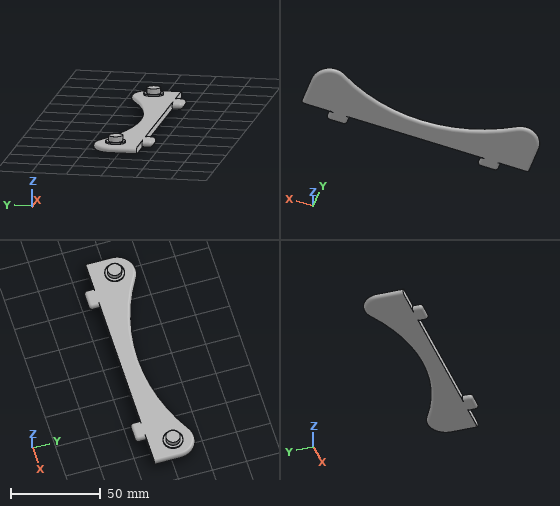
import cadquery as cq
import math

length = 136.0
thickness = 4.0
depth = 26.5
waist_depth = 10.9
corner_radius = 11.0
edge_radius = 0.499 * thickness

post_spacing = 114.0
post_y = 14.0
post_diameter = 8.0
post_height = 3.3
collar_diameter = 11.2
collar_height = 0.8

tab_spacing = 90.3
tab_width = 12.1
tab_reach = 6.0
tab_overlap = 4.1


def make_plate():
    half = length / 2
    corner_x = half - corner_radius
    corner_y = depth - corner_radius

    rise = waist_depth - corner_y
    waist_radius = (corner_radius**2 - corner_x**2 - rise**2) / (2 * (rise - corner_radius))
    waist_center_y = waist_depth + waist_radius
    slope = math.atan2(waist_center_y - corner_y, corner_x)
    join_x = corner_x - corner_radius * math.cos(slope)
    join_y = corner_y + corner_radius * math.sin(slope)

    mid_angle = (math.pi - slope) / 2
    mid_x = corner_x + corner_radius * math.cos(mid_angle)
    mid_y = corner_y + corner_radius * math.sin(mid_angle)

    plate = (
        cq.Workplane("XY")
        .moveTo(-half, 0)
        .lineTo(half, 0)
        .lineTo(half, corner_y)
        .threePointArc((mid_x, mid_y), (join_x, join_y))
        .threePointArc((0, waist_depth), (-join_x, join_y))
        .threePointArc((-mid_x, mid_y), (-half, corner_y))
        .close()
        .extrude(thickness)
    )
    return plate.faces("<Z or >Z").edges("not <Y").fillet(edge_radius)


def make_tab(x):
    tab = (
        cq.Workplane("XY")
        .center(x, (tab_overlap - tab_reach) / 2)
        .rect(tab_width, tab_reach + tab_overlap)
        .extrude(thickness)
    )
    return tab.edges("|Y or <Y").fillet(edge_radius)


def make_post(x):
    return (
        cq.Workplane("XY", origin=(x, post_y, thickness))
        .circle(collar_diameter / 2)
        .extrude(collar_height)
        .faces(">Z")
        .workplane()
        .circle(post_diameter / 2)
        .extrude(post_height)
    )


result = make_plate()
for side in (-1, 1):
    result = result.union(make_tab(side * tab_spacing / 2))
    result = result.union(make_post(side * post_spacing / 2))